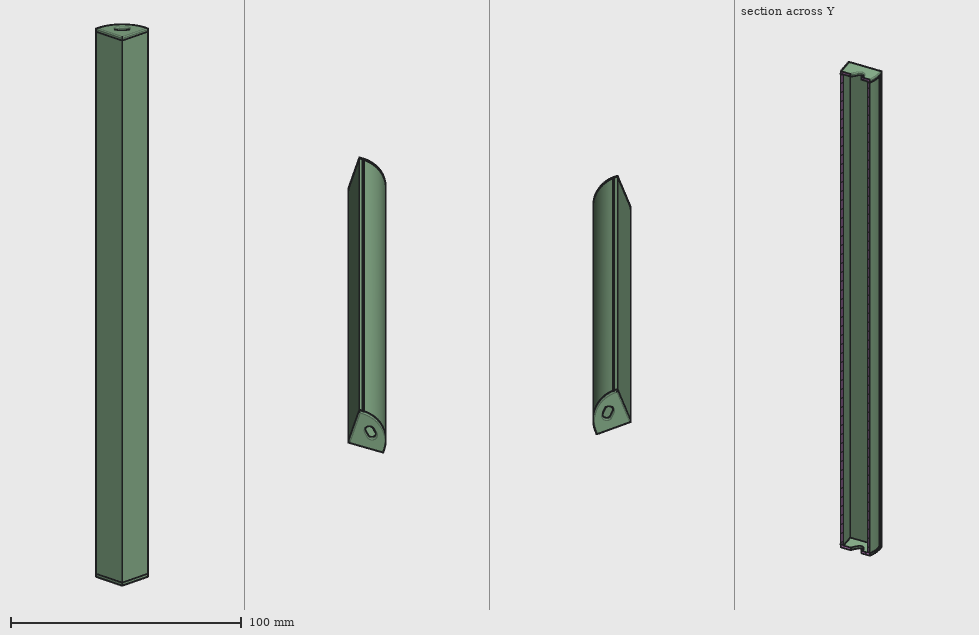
import cadquery as cq
import math

SIDE = 16.0
LENGTH = 253.3

WALL = 1.5
COVER_THICKNESS = 1.3
GROOVE_WIDTH = 0.63
GROOVE_DEPTH = 0.5

CAP_THICKNESS = 1.65
CAP_FILLET = 0.5

SLOT_LENGTH = 6.0
SLOT_WIDTH = 3.5
SLOT_ANGLE = 45
SLOT_OFFSET = 0.3

HALF = SIDE / 2
BODY_LENGTH = LENGTH - 2 * CAP_THICKNESS
ARC_RADIUS = SIDE - WALL
ARC_X = HALF - WALL
ARC_Y = WALL - HALF


def arc_midpoint(radius):
    """Middle of the quarter arc that faces -X and +Y."""
    reach = radius * math.sqrt(0.5)
    return ARC_X - reach, ARC_Y + reach


def make_profile():
    """Angle-shaped extrusion with its outer corner at +X, -Y."""
    return (
        cq.Workplane("XY", origin=(0, 0, -BODY_LENGTH / 2))
        .moveTo(HALF, -HALF)
        .lineTo(HALF, HALF)
        .lineTo(ARC_X, HALF)
        .lineTo(ARC_X, ARC_Y)
        .lineTo(-HALF, ARC_Y)
        .lineTo(-HALF, -HALF)
        .close()
        .extrude(BODY_LENGTH)
    )


def make_cover():
    """Quarter-round shell standing on both wall ends, with a groove outside each seam."""
    inner_radius = ARC_RADIUS - COVER_THICKNESS
    shell = (
        cq.Workplane("XY", origin=(0, 0, -BODY_LENGTH / 2))
        .moveTo(ARC_X, HALF)
        .threePointArc(arc_midpoint(ARC_RADIUS), (-HALF, ARC_Y))
        .lineTo(ARC_X - inner_radius, ARC_Y)
        .threePointArc(arc_midpoint(inner_radius), (ARC_X, ARC_Y + inner_radius))
        .close()
        .extrude(BODY_LENGTH)
    )
    lower_groove = cq.Workplane("XY").box(GROOVE_DEPTH, GROOVE_WIDTH, BODY_LENGTH).translate(
        (-HALF + GROOVE_DEPTH / 2, ARC_Y + GROOVE_WIDTH / 2, 0)
    )
    upper_groove = cq.Workplane("XY").box(GROOVE_WIDTH, GROOVE_DEPTH, BODY_LENGTH).translate(
        (ARC_X - GROOVE_WIDTH / 2, HALF - GROOVE_DEPTH / 2, 0)
    )
    return shell.cut(lower_groove).cut(upper_groove)


def make_cap(end):
    """Slotted plate, rounded on its outer edges, on the top (end = 1) or bottom (end = -1)."""
    plate = (
        cq.Workplane("XY", origin=(0, 0, BODY_LENGTH / 2))
        .moveTo(HALF, -HALF)
        .lineTo(HALF, HALF)
        .lineTo(ARC_X, HALF)
        .threePointArc(arc_midpoint(ARC_RADIUS), (-HALF, ARC_Y))
        .lineTo(-HALF, -HALF)
        .close()
        .extrude(CAP_THICKNESS)
    )
    slot = (
        cq.Workplane("XY", origin=(SLOT_OFFSET, -SLOT_OFFSET, BODY_LENGTH / 2))
        .slot2D(SLOT_LENGTH, SLOT_WIDTH, SLOT_ANGLE)
        .extrude(CAP_THICKNESS)
    )
    cap = plate.cut(slot).faces(">Z").fillet(CAP_FILLET)
    return cap if end > 0 else cap.mirror("XY")


profile = make_profile()
cover = make_cover()
caps = [make_cap(end) for end in (1, -1)]

result = cq.Compound.makeCompound([profile.val(), cover.val(), *[cap.val() for cap in caps]])